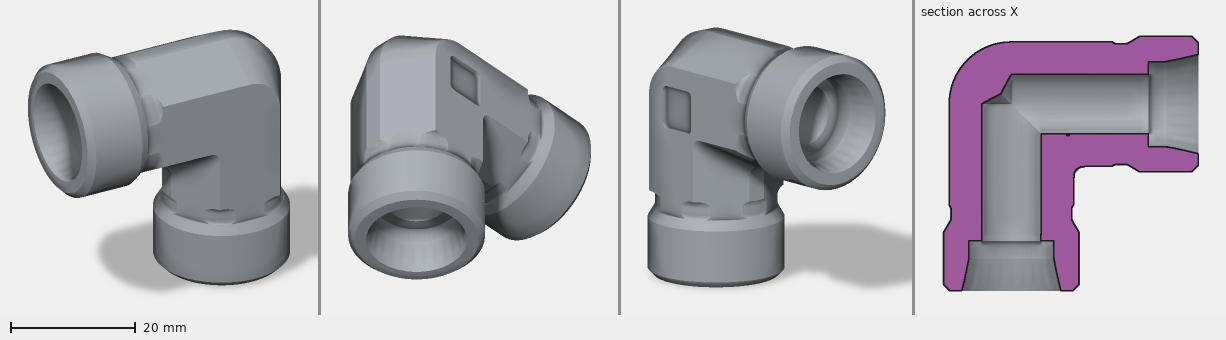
import cadquery as cq
import math


collar_diameter = 22.0
collar_radius = collar_diameter / 2
overall_length = 41.0
port_reach = overall_length - collar_radius
collar_start = 19.0
collar_shoulder_length = 1.55
collar_chamfer = 1.02

across_flats = 19.0
half_flats = across_flats / 2
ridge_distance = 10.1
hex_half_angle = math.radians(30)
hex_slope = math.tan(hex_half_angle)
side_half_width = half_flats * hex_slope
ridge_half_width = (half_flats / math.cos(hex_half_angle) - ridge_distance) / hex_slope
inner_corner_radius = 2.0

groove_floor_radius = 9.85
groove_floor_start = 16.9
groove_floor_end = 18.3
groove_corner_radius = 1.0

bore_radius = 10.0 / 2
drill_tip_half_angle = math.radians(59)
seat_radius = 14.0 / 2
seat_depth = 8.0
mouth_radius = 16.2 / 2
mouth_taper_half_angle = math.radians(12)

badge_size = 7.05
badge_corner_radius = 1.0
badge_offset = 1.45
badge_depth = 1.0

clearance = 0.4


def on_both_ports(leg):
    """Join a -Z leg with its copy turned onto the -Y axis."""
    return leg.union(leg.rotate((0, 0, 0), (1, 0, 0), -90))


def turned(profile):
    """Revolve a (radius, distance along the axis) profile about the port that points to -Z."""
    return profile.close().revolve(360, (0, 0, 0), (0, 1, 0))


def profile_start(radius, distance):
    """Begin a profile at a radius and a distance from the elbow centre toward the -Z port."""
    return cq.Workplane("XZ").moveTo(radius, -distance)


def upper_section():
    """Corners of the body section on the +Y side of its centre line, from -X to +X."""
    return [
        (-half_flats, side_half_width),
        (-ridge_half_width, ridge_distance),
        (ridge_half_width, ridge_distance),
        (half_flats, side_half_width),
    ]


def make_bend():
    """Half of the body section, swept a quarter turn around the outside of the elbow."""
    half_section = [(-half_flats, 0)] + upper_section() + [(half_flats, 0)]
    return cq.Workplane("XY").polyline(half_section).close().revolve(90, (0, 0, 0), (1, 0, 0))


def make_body():
    section = upper_section() + [(-x, -y) for x, y in upper_section()]
    leg = cq.Workplane("XY").polyline(section).close().extrude(-collar_start)
    body = on_both_ports(leg).union(make_bend())
    corner = cq.selectors.BoxSelector(
        (-half_flats, -ridge_distance - clearance, -ridge_distance - clearance),
        (half_flats, -side_half_width - clearance, -side_half_width - clearance),
    )
    return body.edges(corner).fillet(inner_corner_radius)


def make_groove():
    clear_radius = collar_radius + clearance
    wall_radius = groove_floor_radius + groove_corner_radius
    body_wall = groove_floor_start - groove_corner_radius
    collar_wall = groove_floor_end + groove_corner_radius
    profile = (
        profile_start(groove_floor_radius, groove_floor_start)
        .radiusArc((wall_radius, -body_wall), groove_corner_radius)
        .lineTo(clear_radius, -body_wall)
        .lineTo(clear_radius, -collar_wall)
        .lineTo(wall_radius, -collar_wall)
        .radiusArc((groove_floor_radius, -groove_floor_end), groove_corner_radius)
    )
    return turned(profile)


def make_collar():
    profile = (
        profile_start(0, collar_start)
        .lineTo(ridge_distance, -collar_start)
        .lineTo(collar_radius, -(collar_start + collar_shoulder_length))
        .lineTo(collar_radius, -(port_reach - collar_chamfer))
        .lineTo(collar_radius - collar_chamfer, -port_reach)
        .lineTo(0, -port_reach)
    )
    return turned(profile)


def make_bore():
    tip_height = bore_radius / math.tan(drill_tip_half_angle)
    taper_length = (mouth_radius - seat_radius) / math.tan(mouth_taper_half_angle)
    seat_floor = port_reach - seat_depth
    profile = (
        profile_start(0, -tip_height)
        .lineTo(bore_radius, 0)
        .lineTo(bore_radius, -seat_floor)
        .lineTo(seat_radius, -seat_floor)
        .lineTo(seat_radius, -(port_reach - taper_length))
        .lineTo(mouth_radius, -port_reach)
        .lineTo(0, -port_reach)
    )
    return turned(profile)


def make_badge_recess():
    return (
        cq.Workplane("YZ", origin=(-half_flats, -badge_offset, -badge_offset))
        .rect(badge_size, badge_size)
        .extrude(badge_depth)
        .edges("|X")
        .fillet(badge_corner_radius)
    )


result = (
    make_body()
    .cut(on_both_ports(make_groove()))
    .union(on_both_ports(make_collar()))
    .cut(on_both_ports(make_bore()))
    .cut(make_badge_recess())
)